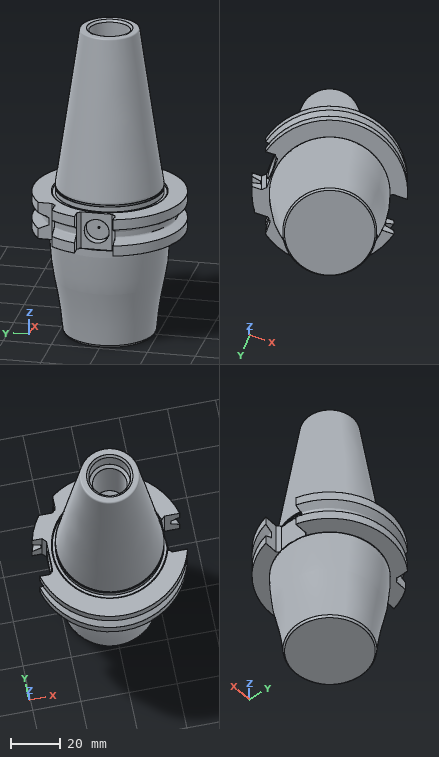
import cadquery as cq
import math

TOTAL_HEIGHT = 132.9
FLANGE_BOTTOM = 45.5
FLANGE_THICKNESS = 16.0
FLANGE_TOP = FLANGE_BOTTOM + FLANGE_THICKNESS
FLANGE_MIDDLE = FLANGE_BOTTOM + FLANGE_THICKNESS / 2
FLANGE_RADIUS = 31.8

NOSE_RADIUS = 24.6
NOSE_TOP_ROUND = 0.5
NOSE_ARC_TOP = 41.6
NOSE_ARC_BOTTOM = 24.7
NOSE_WAIST_RADIUS = 22.7
NOSE_TIP_RADIUS = 19.1
NOSE_TIP_CHAMFER_HEIGHT = 1.0
NOSE_TIP_CHAMFER_WIDTH = 0.7

GROOVE_FLOOR_RADIUS = 28.2
GROOVE_FLOOR_WIDTH = 2.9
GROOVE_FLANK_ANGLE = 30
GROOVE_CORNER_RADIUS = 0.7
GROOVE_DEPTH = FLANGE_RADIUS - GROOVE_FLOOR_RADIUS
GROOVE_FLANK_HEIGHT = GROOVE_DEPTH * math.tan(math.radians(GROOVE_FLANK_ANGLE))
GROOVE_HALF_FLOOR = GROOVE_FLOOR_WIDTH / 2
GROOVE_HALF_MOUTH = GROOVE_HALF_FLOOR + GROOVE_FLANK_HEIGHT

TAPER_BOTTOM = 64.9
TAPER_BASE_RADIUS = 22.2
TAPER_SLOPE = 7 / 48
TAPER_TOP_RADIUS = TAPER_BASE_RADIUS - TAPER_SLOPE * (TOTAL_HEIGHT - TAPER_BOTTOM)
TAPER_TOP_FILLET = 0.8
NECK_GROOVE_TOP = 63.9
NECK_GROOVE_BOTTOM = 63.1
NECK_GROOVE_DEPTH = 0.3
FACE_RELIEF_RADIUS = 23.8
FACE_RELIEF_DEPTH = 0.4

BORE_RADIUS = 8.5
BORE_MOUTH_RADIUS = 9.5
BORE_DEPTH = 8.0
PILOT_RADIUS = 7.0
PILOT_DEPTH = 31.9
DRILL_HALF_ANGLE = 59
STEP_HALF_ANGLE = 60

SLOT_WIDTH = 16.1
SLOT_CORNER_CHAMFER = 1.6
LEFT_SLOT_FLOOR = 25.0
RIGHT_SLOT_FLOOR = 22.7
NOTCH_X = -18.6
NOTCH_Y = 18.5
CHIP_HOLE_RADIUS = 5.2
CHIP_HOLE_DEPTH = 4.0
CENTER_MARK_RADIUS = 0.33
CENTER_MARK_DEPTH = 0.7

CUT_REACH = 2 * FLANGE_RADIUS


def cone_height(wide_radius, narrow_radius, half_angle):
    return (wide_radius - narrow_radius) / math.tan(math.radians(half_angle))


def make_body():
    arc_height = NOSE_ARC_TOP - NOSE_ARC_BOTTOM
    arc_inset = NOSE_RADIUS - NOSE_WAIST_RADIUS
    arc_radius = (arc_height**2 + arc_inset**2) / (2 * arc_inset)
    half_sweep = math.asin(arc_height / arc_radius) / 2
    arc_middle = (
        NOSE_RADIUS - arc_radius * (1 - math.cos(half_sweep)),
        NOSE_ARC_TOP - arc_radius * math.sin(half_sweep),
    )
    neck_groove_radius = TAPER_BASE_RADIUS - NECK_GROOVE_DEPTH
    profile = (
        cq.Workplane("XZ")
        .moveTo(0, TOTAL_HEIGHT)
        .lineTo(TAPER_TOP_RADIUS, TOTAL_HEIGHT)
        .lineTo(TAPER_BASE_RADIUS, TAPER_BOTTOM)
        .lineTo(TAPER_BASE_RADIUS, NECK_GROOVE_TOP)
        .lineTo(neck_groove_radius, NECK_GROOVE_TOP)
        .lineTo(neck_groove_radius, NECK_GROOVE_BOTTOM)
        .lineTo(TAPER_BASE_RADIUS, NECK_GROOVE_BOTTOM)
        .lineTo(TAPER_BASE_RADIUS, FLANGE_TOP - FACE_RELIEF_DEPTH)
        .lineTo(FACE_RELIEF_RADIUS - FACE_RELIEF_DEPTH, FLANGE_TOP - FACE_RELIEF_DEPTH)
        .lineTo(FACE_RELIEF_RADIUS, FLANGE_TOP)
        .lineTo(FLANGE_RADIUS, FLANGE_TOP)
        .lineTo(FLANGE_RADIUS, FLANGE_MIDDLE + GROOVE_HALF_MOUTH)
        .lineTo(GROOVE_FLOOR_RADIUS, FLANGE_MIDDLE + GROOVE_HALF_FLOOR)
        .lineTo(GROOVE_FLOOR_RADIUS, FLANGE_MIDDLE - GROOVE_HALF_FLOOR)
        .lineTo(FLANGE_RADIUS, FLANGE_MIDDLE - GROOVE_HALF_MOUTH)
        .lineTo(FLANGE_RADIUS, FLANGE_BOTTOM)
        .lineTo(NOSE_RADIUS - NOSE_TOP_ROUND, FLANGE_BOTTOM)
        .radiusArc((NOSE_RADIUS, FLANGE_BOTTOM - NOSE_TOP_ROUND), NOSE_TOP_ROUND)
        .lineTo(NOSE_RADIUS, NOSE_ARC_TOP)
        .threePointArc(arc_middle, (NOSE_WAIST_RADIUS, NOSE_ARC_BOTTOM))
        .tangentArcPoint((NOSE_TIP_RADIUS, NOSE_TIP_CHAMFER_HEIGHT), relative=False)
        .lineTo(NOSE_TIP_RADIUS - NOSE_TIP_CHAMFER_WIDTH, 0)
        .lineTo(0, 0)
        .close()
    )
    body = profile.revolve(360, (0, 0), (0, 1))
    floor_edges = cq.selectors.BoxSelector(
        (-FLANGE_RADIUS, -FLANGE_RADIUS, FLANGE_MIDDLE - GROOVE_FLOOR_WIDTH),
        (FLANGE_RADIUS, FLANGE_RADIUS, FLANGE_MIDDLE + GROOVE_FLOOR_WIDTH),
        boundingbox=True,
    )
    body = body.edges(floor_edges).edges("%CIRCLE").fillet(GROOVE_CORNER_RADIUS)
    return body.faces(">Z").edges().fillet(TAPER_TOP_FILLET)


def make_bore():
    mouth_bottom = TOTAL_HEIGHT - (BORE_MOUTH_RADIUS - BORE_RADIUS)
    bore_bottom = TOTAL_HEIGHT - BORE_DEPTH
    step_bottom = bore_bottom - cone_height(BORE_RADIUS, PILOT_RADIUS, STEP_HALF_ANGLE)
    pilot_bottom = TOTAL_HEIGHT - PILOT_DEPTH
    tip = pilot_bottom - cone_height(PILOT_RADIUS, 0, DRILL_HALF_ANGLE)
    profile = [
        (0, TOTAL_HEIGHT),
        (BORE_MOUTH_RADIUS, TOTAL_HEIGHT),
        (BORE_RADIUS, mouth_bottom),
        (BORE_RADIUS, bore_bottom),
        (PILOT_RADIUS, step_bottom),
        (PILOT_RADIUS, pilot_bottom),
        (0, tip),
    ]
    return cq.Workplane("XZ").polyline(profile).close().revolve(360, (0, 0), (0, 1))


def make_flange_cut(x_range, y_range, corner_edges):
    """Box through the flange thickness with chamfered vertical inner corners."""
    return (
        cq.Workplane("XY", origin=(x_range[0], y_range[0], FLANGE_BOTTOM))
        .box(x_range[1] - x_range[0], y_range[1] - y_range[0], FLANGE_THICKNESS, centered=False)
        .edges(corner_edges)
        .chamfer(SLOT_CORNER_CHAMFER)
    )


def make_chip_hole():
    plane = cq.Workplane("YZ", origin=(-LEFT_SLOT_FLOOR, 0, FLANGE_MIDDLE))
    center_mark = plane.circle(CENTER_MARK_RADIUS).extrude(CHIP_HOLE_DEPTH + CENTER_MARK_DEPTH)
    return plane.circle(CHIP_HOLE_RADIUS).extrude(CHIP_HOLE_DEPTH).union(center_mark)


slot_y_range = (-SLOT_WIDTH / 2, SLOT_WIDTH / 2)
left_slot = make_flange_cut((-CUT_REACH, -LEFT_SLOT_FLOOR), slot_y_range, "|Z and >X")
right_slot = make_flange_cut((RIGHT_SLOT_FLOOR, CUT_REACH), slot_y_range, "|Z and <X")
notch = make_flange_cut((-CUT_REACH, NOTCH_X), (NOTCH_Y, CUT_REACH), "|Z and >X and <Y")

result = make_body()
for cutter in (make_bore(), left_slot, right_slot, notch, make_chip_hole()):
    result = result.cut(cutter)